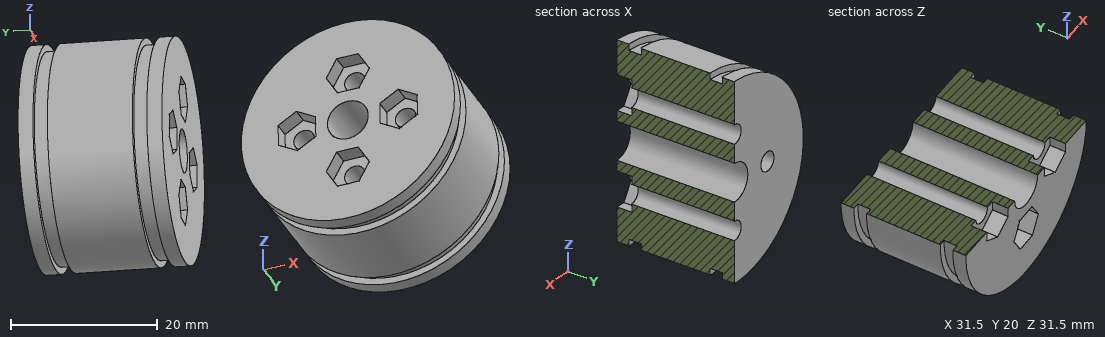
import cadquery as cq
import math

body_diameter = 31.5
body_length = 20.0

groove_diameter = 29.5
groove_width = 2.0
rim_width = 2.1

bore_diameter = 6.0
bolt_hole_diameter = 3.0
bolt_circle_radius = 7.5
bolt_count = 4

nut_sides = 6
nut_across_flats = 5.5
nut_across_corners = nut_across_flats / math.cos(math.pi / nut_sides)
nut_pocket_depth = 2.5
nut_twist = 1.3

front_y = -body_length / 2
back_y = body_length / 2


def cylinder(diameter, start_y, length):
    """Cylinder about the Y axis, running from start_y towards +Y."""
    plane = cq.Workplane("XZ", origin=(0, start_y, 0))
    return plane.circle(diameter / 2).extrude(-length)


def ring_groove(start_y):
    """Ring that cuts one groove, starting at start_y."""
    ring = cq.Workplane("XZ", origin=(0, start_y, 0))
    return ring.circle(body_diameter / 2).circle(groove_diameter / 2).extrude(-groove_width)


def bolt_cutter(angle):
    """Through hole with a nut pocket, placed at an angle around the bolt circle."""
    corner_to_flat_angle = 180 / nut_sides
    hole = cylinder(bolt_hole_diameter, front_y, body_length)
    pocket = (
        cq.Workplane("XZ", origin=(0, front_y, 0))
        .polygon(nut_sides, nut_across_corners)
        .extrude(-nut_pocket_depth)
        .rotate((0, 0, 0), (0, 1, 0), corner_to_flat_angle - nut_twist)
    )
    cutter = hole.union(pocket).translate((bolt_circle_radius, 0, 0))
    return cutter.rotate((0, 0, 0), (0, 1, 0), angle)


result = cylinder(body_diameter, front_y, body_length)

for groove_start in (front_y + rim_width, back_y - rim_width - groove_width):
    result = result.cut(ring_groove(groove_start))

result = result.cut(cylinder(bore_diameter, front_y, body_length))

for index in range(bolt_count):
    result = result.cut(bolt_cutter(index * 360 / bolt_count))